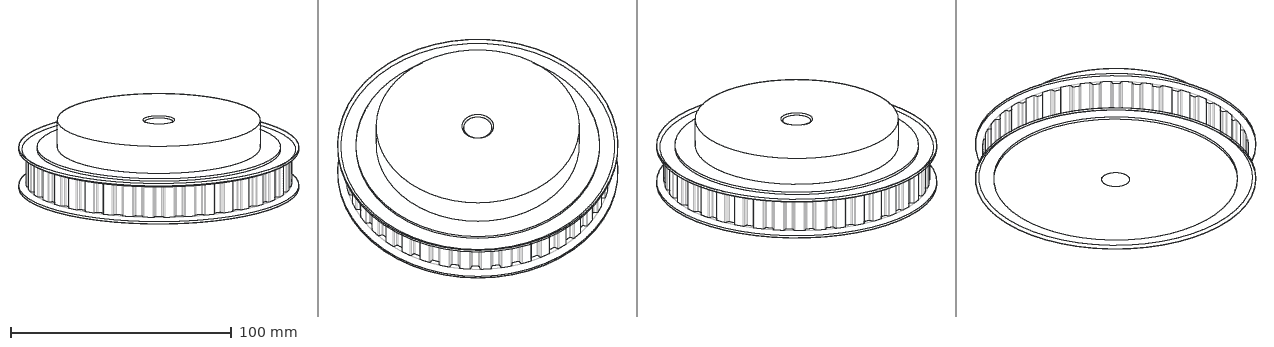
import cadquery as cq
import math

tooth_count = 40
belt_pitch = 9.525
pitch_line_offset = 0.381
groove_depth = 1.91
groove_floor_width = 3.25
groove_corner_radius = 0.5
groove_side_angle = math.radians(20.0)
tip_radius = tooth_count * belt_pitch / (2 * math.pi) - pitch_line_offset
root_radius = tip_radius - groove_depth

overall_height = 31.75
rim_width = 19.05
hub_radius = 46.0
bore_diameter = 12.7
bore_radius = bore_diameter / 2
bore_chamfer = 0.8

flange_diameter = 127.0
flange_radius = flange_diameter / 2
flange_thickness = 1.15
flange_dish_depth = 1.15
flange_flat_radius = 62.0
shoulder_radius = 55.2
flange_inner_z = flange_thickness + flange_dish_depth
toothed_width = rim_width - 2 * flange_inner_z


def disc(radius, bottom_z, height):
    return cq.Workplane("XY", origin=(0, 0, bottom_z)).circle(radius).extrude(height)


def make_groove():
    """One tooth space on the +X side: a trapezoid reaching past the tooth tips."""
    overshoot = 1.0
    reach = groove_depth + overshoot
    outer_x = root_radius + reach
    half_floor = groove_floor_width / 2
    half_mouth = half_floor + reach * math.tan(groove_side_angle)
    return (
        cq.Workplane("XY", origin=(0, 0, flange_inner_z))
        .moveTo(root_radius, -half_floor)
        .lineTo(outer_x, -half_mouth)
        .lineTo(outer_x, half_mouth)
        .lineTo(root_radius, half_floor)
        .close()
        .extrude(toothed_width)
    )


def make_toothed_ring():
    """Toothed ring between the flanges, with all groove corners rounded."""
    ring = disc(tip_radius, flange_inner_z, toothed_width)
    groove = make_groove()
    for index in range(tooth_count):
        angle = 360.0 * index / tooth_count
        ring = ring.cut(groove.rotate((0, 0, 0), (0, 0, 1), angle))
    return ring.edges("|Z").fillet(groove_corner_radius)


def make_lower_flange():
    """Lower flange: flat sheet whose border curls down, away from the teeth."""
    curl_run = flange_radius - tip_radius
    curl_arc_radius = (curl_run**2 + flange_dish_depth**2) / (2 * flange_dish_depth)
    half_curl_angle = math.asin(curl_run / curl_arc_radius) / 2
    curl_middle = (
        tip_radius + curl_arc_radius * math.sin(half_curl_angle),
        flange_inner_z - curl_arc_radius * (1 - math.cos(half_curl_angle)),
    )
    return (
        cq.Workplane("XZ")
        .moveTo(0, flange_dish_depth)
        .lineTo(flange_flat_radius, flange_dish_depth)
        .lineTo(flange_radius, 0)
        .lineTo(flange_radius, flange_thickness)
        .threePointArc(curl_middle, (tip_radius, flange_inner_z))
        .lineTo(0, flange_inner_z)
        .close()
        .revolve(360, (0, 0, 0), (0, 1, 0))
    )


def cut_bore(body):
    """Through bore, chamfered at the hub face."""
    mouth_radius = bore_radius + bore_chamfer
    mouth_base = cq.Vector(0, 0, overall_height - bore_chamfer)
    mouth = cq.Solid.makeCone(bore_radius, mouth_radius, bore_chamfer, pnt=mouth_base)
    return body.cut(disc(bore_radius, 0, overall_height)).cut(mouth)


def make_pulley():
    lower_flange = make_lower_flange()
    upper_flange = lower_flange.mirror("XY").translate((0, 0, rim_width))
    body = make_toothed_ring().union(lower_flange).union(upper_flange)
    body = body.union(disc(shoulder_radius, 0, rim_width))
    body = body.union(disc(hub_radius, 0, overall_height))
    return cut_bore(body)


result = make_pulley()